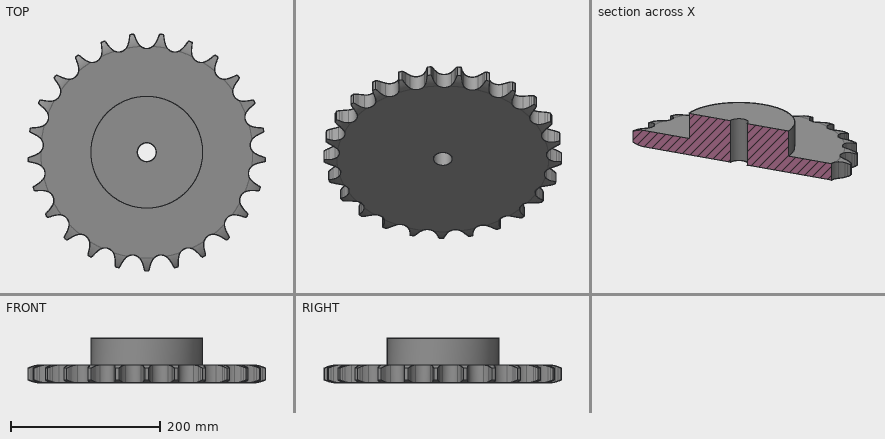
import cadquery as cq
import math

tooth_count = 25
chain_pitch = 38.1
roller_diameter = 25.4
tip_radius = 159.5
tooth_angle = 360 / tooth_count
pitch_radius = chain_pitch / 2 / math.sin(math.pi / tooth_count)

seat_clearance = 0.038
seat_radius = 0.5025 * roller_diameter + seat_clearance
seat_half_angle = 90 - (35 + 60 / tooth_count)
working_center_offset = 0.8 * roller_diameter
topping_center_offset = 1.4 * roller_diameter
working_radius = seat_radius + working_center_offset
working_angle = 18 - 56 / tooth_count
topping_center_angle = 17 - 64 / tooth_count
working_rad = math.radians(working_angle)
topping_rad = math.radians(topping_center_angle)
flank_length = topping_center_offset * math.sin(topping_rad) - working_center_offset * math.sin(working_rad)
topping_radius = (
    working_center_offset * math.cos(working_rad)
    + topping_center_offset * math.cos(topping_rad)
    - working_radius
)
topping_angle = 30

plate_thickness = 24.1
relief_radius = chain_pitch
relief_start_radius = 142.0
hub_diameter = 150.0
total_height = 60.0
bore_diameter = 25.0


def step(point, heading, distance):
    """Point reached by moving a distance along a heading given in degrees."""
    angle = math.radians(heading)
    return (point[0] + distance * math.cos(angle), point[1] + distance * math.sin(angle))


def arc_step(point, heading, radius, turn):
    """Middle point, end point and end heading of an arc that leaves a point tangentially."""
    middle_chord = 2 * radius * math.sin(math.radians(abs(turn) / 4))
    end_chord = 2 * radius * math.sin(math.radians(abs(turn) / 2))
    middle = step(point, heading + turn / 4, middle_chord)
    end = step(point, heading + turn / 2, end_chord)
    return middle, end, heading + turn


def relief_drop(run):
    """Depth of the tooth-side rounding at a radial distance outside its start."""
    return relief_radius - math.sqrt(relief_radius**2 - run**2)


def make_blank():
    """Toothless disc whose rim sides curve in towards the tips, top and bottom."""
    run = tip_radius - relief_start_radius
    middle_radius = relief_start_radius + run / 2
    tip_drop = relief_drop(run)
    middle_drop = relief_drop(run / 2)
    return (
        cq.Workplane("XZ")
        .lineTo(relief_start_radius, 0)
        .threePointArc((middle_radius, middle_drop), (tip_radius, tip_drop))
        .lineTo(tip_radius, plate_thickness - tip_drop)
        .threePointArc((middle_radius, plate_thickness - middle_drop), (relief_start_radius, plate_thickness))
        .lineTo(0, plate_thickness)
        .close()
        .revolve(360, (0, 0, 0), (0, 1, 0))
    )


def make_gap():
    """Cutter for one tooth gap, symmetric about +Y: seat, working curve, flank, topping curve."""
    root = (0, pitch_radius - seat_radius)
    seat_mid, seat_end, heading = arc_step(root, 0, seat_radius, seat_half_angle)
    working_mid, working_end, heading = arc_step(seat_end, heading, working_radius, working_angle)
    flank_end = step(working_end, heading, flank_length)
    topping_mid, topping_end, _ = arc_step(flank_end, heading, topping_radius, -topping_angle)
    half_gap = (
        cq.Workplane("XY")
        .moveTo(*root)
        .threePointArc(seat_mid, seat_end)
        .threePointArc(working_mid, working_end)
        .lineTo(*flank_end)
        .threePointArc(topping_mid, topping_end)
        .lineTo(0, topping_end[1])
        .close()
        .extrude(plate_thickness)
    )
    return half_gap.union(half_gap.mirror("YZ"))


def cut_teeth(blank):
    """Cut every tooth gap, with one gap centred on +Y."""
    gap = make_gap()
    gaps = [
        gap.rotate((0, 0, 0), (0, 0, 1), index * tooth_angle).val()
        for index in range(tooth_count)
    ]
    return cq.Workplane(blank.val().cut(*gaps))


def add_hub(sprocket):
    """Add the hub on the top face and drill the bore through the whole part."""
    hub = cq.Workplane("XY").circle(hub_diameter / 2).extrude(total_height)
    bore = cq.Workplane("XY").circle(bore_diameter / 2).extrude(total_height)
    return sprocket.union(hub).cut(bore)


result = add_hub(cut_teeth(make_blank()))